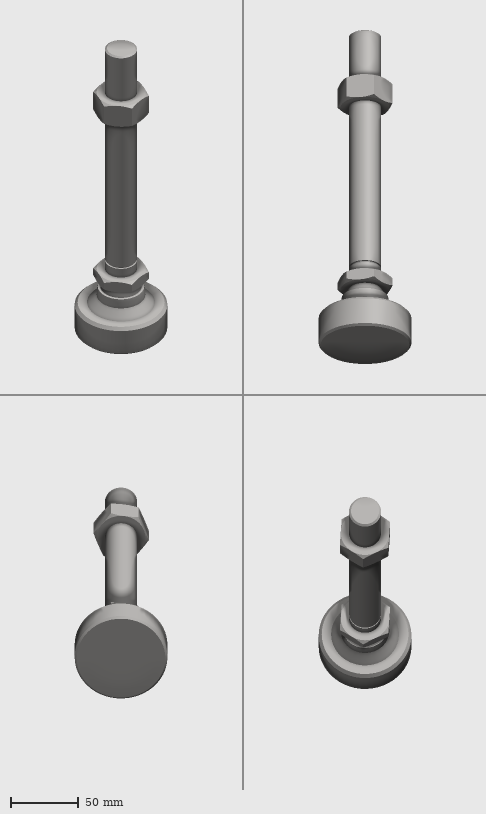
import cadquery as cq
import math

TOTAL_HEIGHT = 255.0
PAD_HEIGHT = 24.2
COLLAR_BASE_Z = 31.0
COLLAR_TOP_Z = 38.8
STUD_HEX_BASE_Z = 45.6
STUD_HEX_HEIGHT = 9.2
GROOVE_BASE_Z = 62.7
GROOVE_WIDTH = 1.5
NUT_BASE_Z = 196.0
NUT_HEIGHT = 18.9

PAD_DIAMETER = 69.0
PAD_RADIUS = PAD_DIAMETER / 2
PAD_TOP_CHAMFER = 2.3
PAD_BOTTOM_CHAMFER = 1.5

CUP_BASE_RADIUS = 25.2
COLLAR_BASE_RADIUS = 18.0
COLLAR_TOP_RADIUS = 17.3
COLLAR_BULGE = 0.3
CUP_FLOOR = 2.5

ROD_RADIUS = 12.0
ROD_CHAMFER_WIDTH = 1.5
ROD_CHAMFER_HEIGHT = 1.0
GROOVE_DEPTH = 1.3
BALL_RADIUS = 15.8
BALL_CENTRE_Z = 35.2
BALL_FLAT_Z = PAD_HEIGHT + CUP_FLOOR

ACROSS_FLATS = 36.2
HEX_CHAMFER_ANGLE = 30.0


def sphere_section_radius(z):
    """Radius of the ball where it is cut by a level plane."""
    return math.sqrt(BALL_RADIUS**2 - (z - BALL_CENTRE_Z) ** 2)


def revolve_about_z(profile):
    """Turn a closed (radius, height) profile about the Z axis."""
    return profile.close().revolve(360, (0, 0, 0), (0, 1, 0))


def chamfered_hexagon(base_z, height):
    """Hexagonal prism with the corners turned off conically at both ends."""
    flat_radius = ACROSS_FLATS / 2
    corner_radius = flat_radius / math.cos(math.pi / 6)
    drop = (corner_radius - flat_radius) * math.tan(math.radians(HEX_CHAMFER_ANGLE))
    top_z = base_z + height
    prism = (
        cq.Workplane("XY", origin=(0, 0, base_z))
        .polygon(6, 2 * corner_radius)
        .extrude(height)
        .rotate((0, 0, 0), (0, 0, 1), 30)
    )
    turned_envelope = revolve_about_z(
        cq.Workplane("XZ")
        .moveTo(0, base_z)
        .lineTo(flat_radius, base_z)
        .lineTo(corner_radius, base_z + drop)
        .lineTo(corner_radius, top_z - drop)
        .lineTo(flat_radius, top_z)
        .lineTo(0, top_z)
    )
    return prism.intersect(turned_envelope)


def make_pad():
    """Round foot pad, chamfered along its top and bottom edges."""
    disc = cq.Workplane("XY").circle(PAD_RADIUS).extrude(PAD_HEIGHT)
    return disc.faces(">Z").chamfer(PAD_TOP_CHAMFER).faces("<Z").chamfer(PAD_BOTTOM_CHAMFER)


def make_ball():
    """Ball with a flat underside, cut off level at the stud hexagon."""
    return revolve_about_z(
        cq.Workplane("XZ")
        .moveTo(0, BALL_FLAT_Z)
        .lineTo(sphere_section_radius(BALL_FLAT_Z), BALL_FLAT_Z)
        .threePointArc(
            (BALL_RADIUS, BALL_CENTRE_Z),
            (sphere_section_radius(STUD_HEX_BASE_Z), STUD_HEX_BASE_Z),
        )
        .lineTo(0, STUD_HEX_BASE_Z)
    )


def make_cup():
    """Conical cup on the pad, with a bulged collar that wraps the ball."""
    collar_middle = (
        (COLLAR_BASE_RADIUS + COLLAR_TOP_RADIUS) / 2 + COLLAR_BULGE,
        (COLLAR_BASE_Z + COLLAR_TOP_Z) / 2,
    )
    body = revolve_about_z(
        cq.Workplane("XZ")
        .moveTo(0, PAD_HEIGHT)
        .lineTo(CUP_BASE_RADIUS, PAD_HEIGHT)
        .lineTo(COLLAR_BASE_RADIUS, COLLAR_BASE_Z)
        .threePointArc(collar_middle, (COLLAR_TOP_RADIUS, COLLAR_TOP_Z))
        .lineTo(0, COLLAR_TOP_Z)
    )
    return body.cut(make_ball())


def make_stud():
    """Rod with a chamfered tip and a square groove, on a wrench hexagon and ball."""
    rod_base_z = STUD_HEX_BASE_Z
    rod = revolve_about_z(
        cq.Workplane("XZ")
        .moveTo(0, rod_base_z)
        .lineTo(ROD_RADIUS, rod_base_z)
        .lineTo(ROD_RADIUS, GROOVE_BASE_Z)
        .lineTo(ROD_RADIUS - GROOVE_DEPTH, GROOVE_BASE_Z)
        .lineTo(ROD_RADIUS - GROOVE_DEPTH, GROOVE_BASE_Z + GROOVE_WIDTH)
        .lineTo(ROD_RADIUS, GROOVE_BASE_Z + GROOVE_WIDTH)
        .lineTo(ROD_RADIUS, TOTAL_HEIGHT - ROD_CHAMFER_HEIGHT)
        .lineTo(ROD_RADIUS - ROD_CHAMFER_WIDTH, TOTAL_HEIGHT)
        .lineTo(0, TOTAL_HEIGHT)
    )
    hexagon = chamfered_hexagon(STUD_HEX_BASE_Z, STUD_HEX_HEIGHT)
    return rod.union(hexagon).union(make_ball())


def make_nut():
    """Hexagon nut bored to fit the rod."""
    bore = cq.Workplane("XY", origin=(0, 0, NUT_BASE_Z)).circle(ROD_RADIUS).extrude(NUT_HEIGHT)
    return chamfered_hexagon(NUT_BASE_Z, NUT_HEIGHT).cut(bore)


pad = make_pad()
cup = make_cup()
stud = make_stud()
nut = make_nut()

result = cq.Compound.makeCompound([pad.val(), cup.val(), stud.val(), nut.val()])